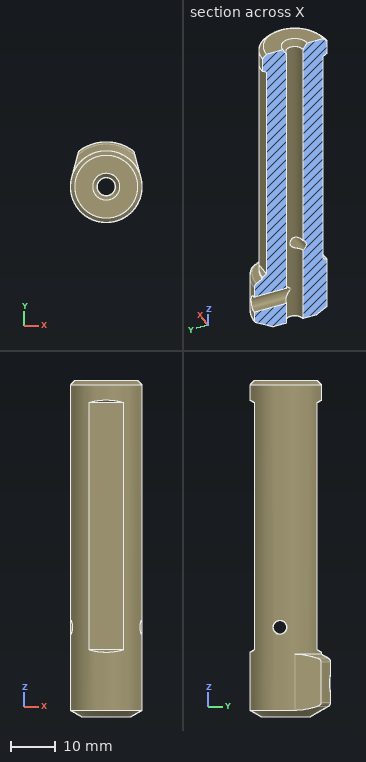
import cadquery as cq
import math

pin_length = 75.0
pin_radius = 8.0
top_chamfer = 1.0
cone_angle = 30.0
cone_slope = math.tan(math.radians(cone_angle))
nose_height = 1.5

lobe_radius = 10.0
lobe_side_angle = 15.0
lobe_shoulder_height = 14.0
lobe_rim_fillet = 1.0

flat_offset = 7.0
flat_bottom = 15.0
flat_top = 70.0

bore_radius = 2.0
mouth_radius = 3.0
mouth_depth = 1.5

cross_hole_radius = 1.5
cross_hole_y = -1.3
cross_hole_z = 20.0

lobe_hole_radius = 2.0
lobe_hole_z = 7.5


def revolve_profile(points):
    """Revolve a closed (radius, height) outline about the Z axis."""
    return cq.Workplane("XZ").polyline(points).close().revolve(360, (0, 0, 0), (0, 1, 0))


def make_shank():
    """Round shank above the lobe with a chamfered top."""
    return revolve_profile([
        (0, lobe_shoulder_height),
        (pin_radius, lobe_shoulder_height),
        (pin_radius, pin_length - top_chamfer),
        (pin_radius - top_chamfer, pin_length),
        (0, pin_length),
    ])


def make_lobed_end():
    """Lower end: round section with tangent lobe sides meeting a larger arc, coned at both ends."""
    angle = math.radians(lobe_side_angle)
    side_length = math.sqrt(lobe_radius**2 - pin_radius**2)
    tangent_x = pin_radius * math.cos(angle)
    tangent_y = pin_radius * math.sin(angle)
    corner_x = tangent_x - side_length * math.sin(angle)
    corner_y = tangent_y + side_length * math.cos(angle)
    prism = (
        cq.Workplane("XY")
        .moveTo(tangent_x, tangent_y)
        .lineTo(corner_x, corner_y)
        .threePointArc((0, lobe_radius), (-corner_x, corner_y))
        .lineTo(-tangent_x, tangent_y)
        .threePointArc((0, -pin_radius), (tangent_x, tangent_y))
        .close()
        .extrude(lobe_shoulder_height)
    )
    nose_radius = pin_radius - nose_height / cone_slope
    cone_rise = (lobe_radius - pin_radius) * cone_slope
    envelope = revolve_profile([
        (0, 0),
        (nose_radius, 0),
        (lobe_radius, nose_height + cone_rise),
        (lobe_radius, lobe_shoulder_height - cone_rise),
        (pin_radius, lobe_shoulder_height),
        (0, lobe_shoulder_height),
    ])
    widest_rims = cq.selectors.RadiusNthSelector(-1)
    envelope = envelope.edges("%CIRCLE").edges(widest_rims).fillet(lobe_rim_fillet)
    return prism.intersect(envelope)


def make_flat_cutter(side):
    """Cutter for one flat with sloped ends; side is -1 for -Y and +1 for +Y."""
    cut_depth = lobe_radius - flat_offset
    end_run = cut_depth * cone_slope
    return (
        cq.Workplane("YZ")
        .polyline([
            (side * flat_offset, flat_bottom),
            (side * lobe_radius, flat_bottom - end_run),
            (side * lobe_radius, flat_top + end_run),
            (side * flat_offset, flat_top),
        ])
        .close()
        .extrude(pin_radius, both=True)
    )


def make_bore_cutter():
    """Axial through bore with a conical mouth at the top."""
    return revolve_profile([
        (0, 0),
        (bore_radius, 0),
        (bore_radius, pin_length - mouth_depth),
        (mouth_radius, pin_length),
        (0, pin_length),
    ])


def make_cross_hole_cutter():
    """Through hole along X."""
    return (
        cq.Workplane("YZ")
        .center(cross_hole_y, cross_hole_z)
        .circle(cross_hole_radius)
        .extrude(pin_radius, both=True)
    )


def make_lobe_hole_cutter():
    """Hole along Y from the axis out through the lobe face."""
    return (
        cq.Workplane("XZ", origin=(0, 0, lobe_hole_z))
        .circle(lobe_hole_radius)
        .extrude(-lobe_radius)
    )


pin = make_shank().union(make_lobed_end())
for flat_side in (-1, 1):
    pin = pin.cut(make_flat_cutter(flat_side))
pin = pin.cut(make_bore_cutter())
pin = pin.cut(make_cross_hole_cutter())
result = pin.cut(make_lobe_hole_cutter())